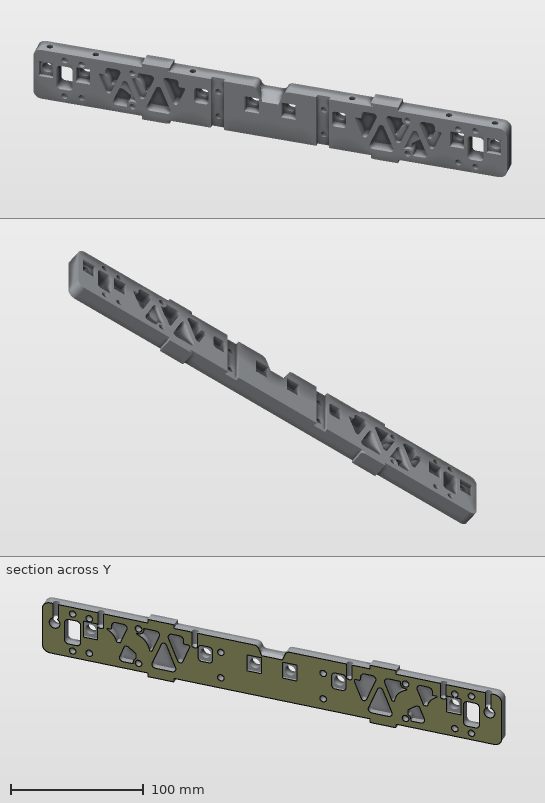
import cadquery as cq
import math

LENGTH = 373.17
THICKNESS = 12.7
OVERALL_HEIGHT = 50.8
TAB_HEIGHT = 3.175
BODY_HEIGHT = OVERALL_HEIGHT - 2 * TAB_HEIGHT
END_RADIUS = 6.35
FRONT = -THICKNESS / 2
BACK = THICKNESS / 2
TOP = BODY_HEIGHT / 2

TAB_OUTER_X = 100.9
TAB_INNER_X = 79.3
TAB_RELIEF_LENGTH = 3.5
TAB_RELIEF_DEPTH = 0.8

NOTCH_FLOOR_Z = 16.3
NOTCH_RAMP_FOOT_Z = 9.5
NOTCH_RAMP_Y = 0.8
NOTCH_TOP_HALF_WIDTH = 11.7
NOTCH_WALL_ANGLE = 22.5
NOTCH_RADIUS = 4.0

INNER_NUT_X = 14.4
ROUNDED_NUT_X = 54.2
OUTER_NUT_X = 147.5
END_NUT_X = 176.5
NUT_Z = 5.0
NUT_WIDTH = 11.1
NUT_HEIGHT = 13.6
NUT_DEPTH = 6.35
END_NUT_DEPTH = 3.175
NUT_CORNER_RADIUS = 2.5
BOLT_DIAMETER = 8.4

WINDOW_X = 161.9
WINDOW_WIDTH = 12.7
WINDOW_HEIGHT = 21.3
WINDOW_RADIUS = 3.175

GROOVE_X = 41.5
GROOVE_WIDTH = 10.2
GROOVE_DEPTH = 3.175

SMALL_HOLE_DIAMETER = 5.0
DOWEL_X = 108.4
DOWEL_Z = 15.2
OUTER_HOLE_X = 148.4
WINDOW_HOLE_Z = 16.3
GROOVE_UPPER_HOLE_Z = 9.5
GROOVE_LOWER_HOLE_Z = -12.9
SMALL_HOLES = (
    (WINDOW_X, WINDOW_HOLE_Z),
    (WINDOW_X, -WINDOW_HOLE_Z),
    (OUTER_HOLE_X, DOWEL_Z),
    (OUTER_HOLE_X, -DOWEL_Z),
    (DOWEL_X, DOWEL_Z),
    (DOWEL_X, -DOWEL_Z),
    (GROOVE_X, GROOVE_UPPER_HOLE_Z),
    (GROOVE_X, GROOVE_LOWER_HOLE_Z),
)

INNER_EDGE_HOLE_X = 62.8
MIDDLE_EDGE_HOLE_X = 139.2
OUTER_EDGE_HOLE_X = 175.4
EDGE_HOLE_DIAMETER = 5.0
EDGE_HOLE_DEPTH = 12.7
DRILL_POINT_ANGLE = 118

TRI_PITCH = 13.2
TRI_CENTER_X = 101.0
TRI_BASE_Z = 16.3
TRI_TIP_Z = 10.4
TRI_HALF_ANGLE = 22.2
TRI_BASE_RADIUS = 2.8
TRI_TIP_RADIUS = 2.1
POCKET_DEPTH = 9.5
DOWEL_KEEPOUT_RADIUS = 4.5

CLIP_HALF_WIDTH = 9.2
CLIP_Z = 9.8
CLIP_TOP_RADIUS = 3.2
CLIP_SIDE_RADIUS = 1.2
CLIP_INNER_RADIUS = 1.2

STEP_DEPTH = 3.175
STEP_DISC_Z = -4.2
STEP_DISC_RADIUS = 15.2
OUTER_STEP_FOOT_Z = -0.2
MIDDLE_STEP_FOOT_Z = -2.0
UPPER_STEP_Z = -2.5
UPPER_STEP_BEND_X = -117.0
UPPER_STEP_END_X = -110.7
UPPER_STEP_END_Z = -7.2


def prism(points, depth=THICKNESS):
    """Solid with an outline in X-Z, reaching from the front face into the plate."""
    return cq.Workplane("XZ", origin=(0, FRONT, 0)).polyline(points).close().extrude(-depth)


def box(x_min, x_max, z_min, z_max, depth=THICKNESS):
    return prism([(x_min, z_min), (x_max, z_min), (x_max, z_max), (x_min, z_max)], depth)


def cylinder(x, z, diameter):
    return cq.Workplane("XZ", origin=(x, FRONT, z)).circle(diameter / 2).extrude(-THICKNESS)


def both_ends(solid):
    """The solid together with its mirror image at the other end of the plate."""
    return solid.union(solid.mirror("YZ"))


def body():
    return cq.Workplane("XY").box(LENGTH, THICKNESS, BODY_HEIGHT).edges("|Y").fillet(END_RADIUS)


def tabs():
    """Upper and lower tab of one half, with a curved relief at their front inner edge."""
    relief_x = -TAB_INNER_X - TAB_RELIEF_LENGTH
    relief_radius = (TAB_RELIEF_LENGTH**2 + TAB_RELIEF_DEPTH**2) / (2 * TAB_RELIEF_DEPTH)
    strip = (
        cq.Workplane("XY", origin=(0, 0, -OVERALL_HEIGHT / 2))
        .moveTo(-TAB_OUTER_X, BACK)
        .lineTo(-TAB_OUTER_X, FRONT)
        .lineTo(relief_x, FRONT)
        .radiusArc((-TAB_INNER_X, FRONT + TAB_RELIEF_DEPTH), -relief_radius)
        .lineTo(-TAB_INNER_X, BACK)
        .close()
        .extrude(OVERALL_HEIGHT)
    )
    return strip.cut(box(-TAB_OUTER_X, -TAB_INNER_X, -TOP, TOP))


def notch_trapezoid(floor_z):
    half_floor = NOTCH_TOP_HALF_WIDTH - (TOP - floor_z) * math.tan(math.radians(NOTCH_WALL_ANGLE))
    return prism(
        [
            (-NOTCH_TOP_HALF_WIDTH, TOP),
            (-half_floor, floor_z),
            (half_floor, floor_z),
            (NOTCH_TOP_HALF_WIDTH, TOP),
        ]
    )


def notch():
    """Trapezoidal notch with a level floor at the back and a ramp falling to the front."""
    level = notch_trapezoid(NOTCH_FLOOR_Z).edges("|Y and <Z").fillet(NOTCH_RADIUS)
    ramp_profile = [
        (FRONT, NOTCH_RAMP_FOOT_Z),
        (NOTCH_RAMP_Y, NOTCH_FLOOR_Z),
        (NOTCH_RAMP_Y, TOP),
        (FRONT, TOP),
    ]
    ramp = cq.Workplane("YZ").polyline(ramp_profile).close().extrude(NOTCH_TOP_HALF_WIDTH, both=True)
    return level.union(notch_trapezoid(NOTCH_RAMP_FOOT_Z).intersect(ramp))


def edge_near(x, y, z):
    return cq.selectors.NearestToPointSelector((x, y, z))


def notched_plate():
    """Body with its tabs and the notch, whose upper corners are rounded."""
    plate = body().union(both_ends(tabs())).cut(notch())
    for x in (-NOTCH_TOP_HALF_WIDTH, NOTCH_TOP_HALF_WIDTH):
        plate = plate.edges("|Y").edges(edge_near(x, 0, TOP)).fillet(NOTCH_RADIUS)
    return plate


def nut_pocket(x, depth=NUT_DEPTH):
    half_width = NUT_WIDTH / 2
    half_height = NUT_HEIGHT / 2
    return box(x - half_width, x + half_width, NUT_Z - half_height, NUT_Z + half_height, depth)


def nut_pockets():
    """The four nut pockets of one half, each with its bolt hole."""
    pockets = nut_pocket(-ROUNDED_NUT_X).edges("|Y").fillet(NUT_CORNER_RADIUS)
    pockets = pockets.union(nut_pocket(-INNER_NUT_X))
    pockets = pockets.union(nut_pocket(-OUTER_NUT_X))
    pockets = pockets.union(nut_pocket(-END_NUT_X, END_NUT_DEPTH))
    for x in (INNER_NUT_X, ROUNDED_NUT_X, OUTER_NUT_X, END_NUT_X):
        pockets = pockets.union(cylinder(-x, NUT_Z, BOLT_DIAMETER))
    return pockets


def window():
    half_width = WINDOW_WIDTH / 2
    half_height = WINDOW_HEIGHT / 2
    opening = box(-WINDOW_X - half_width, -WINDOW_X + half_width, -half_height, half_height)
    return opening.edges("|Y").fillet(WINDOW_RADIUS)


def groove():
    half_width = GROOVE_WIDTH / 2
    return box(-GROOVE_X - half_width, -GROOVE_X + half_width, -TOP, TOP, GROOVE_DEPTH)


def triangle_center(position):
    """X of the triangle that lies the given number of pitches from the middle one."""
    return -TRI_CENTER_X + position * TRI_PITCH


def triangle_half_width(distance_from_tip):
    return distance_from_tip * math.tan(math.radians(TRI_HALF_ANGLE))


def triangle(position, upward):
    """Pocket with the outline of a rounded triangle pointing up or down."""
    x = triangle_center(position)
    half_base = triangle_half_width(TRI_BASE_Z + TRI_TIP_Z)
    sign = 1 if upward else -1
    base_z = -sign * TRI_BASE_Z
    tip_z = sign * TRI_TIP_Z
    base_side = "<Z" if upward else ">Z"
    tip_side = ">Z" if upward else "<Z"
    sharp = prism([(x - half_base, base_z), (x + half_base, base_z), (x, tip_z)], POCKET_DEPTH)
    base_rounded = sharp.edges("|Y").edges(base_side).fillet(TRI_BASE_RADIUS)
    return base_rounded.edges("|Y").edges(tip_side).fillet(TRI_TIP_RADIUS)


def clipped_triangle(position, hole_x):
    """Downward triangle with the corner nearest an edge hole cut away and rounded."""
    center = triangle_center(position)
    inward = math.copysign(1, center - hole_x)
    clip_x = hole_x + inward * CLIP_HALF_WIDTH
    side_x = center - inward * triangle_half_width(CLIP_Z + TRI_TIP_Z)
    clip = box(hole_x - CLIP_HALF_WIDTH, hole_x + CLIP_HALF_WIDTH, CLIP_Z, TOP)
    pocket = triangle(position, upward=False).cut(clip)
    middle_y = FRONT + POCKET_DEPTH / 2
    corners = (
        (clip_x, TRI_BASE_Z, CLIP_TOP_RADIUS),
        (side_x, CLIP_Z, CLIP_SIDE_RADIUS),
        (clip_x, CLIP_Z, CLIP_INNER_RADIUS),
    )
    for x, z, radius in corners:
        pocket = pocket.edges("|Y").edges(edge_near(x, middle_y, z)).fillet(radius)
    return pocket


def stepped(pocket, step):
    """Pocket that is shallow over the step and deep elsewhere."""
    shallow = pocket.intersect(box(-LENGTH / 2, 0, -TOP, TOP, STEP_DEPTH))
    return shallow.union(pocket.cut(step))


def round_step(position, foot_z):
    """Step formed by a disc around a triangle position and everything right of it below the foot."""
    center = triangle_center(position)
    disc = cylinder(center, STEP_DISC_Z, 2 * STEP_DISC_RADIUS)
    return disc.union(box(center, center + 2 * STEP_DISC_RADIUS, -TOP, foot_z))


def upper_step():
    """Step over the upper part of an upright triangle, above a sloping lower edge."""
    left = triangle_center(-2)
    right = triangle_center(0)
    return prism(
        [
            (left, TOP),
            (left, UPPER_STEP_Z),
            (UPPER_STEP_BEND_X, UPPER_STEP_Z),
            (UPPER_STEP_END_X, UPPER_STEP_END_Z),
            (UPPER_STEP_END_X, -TOP),
            (right, -TOP),
            (right, TOP),
        ]
    )


def triangular_pockets():
    """The row of five pockets, with material kept around the two dowel holes between them."""
    pockets = stepped(clipped_triangle(-2, -MIDDLE_EDGE_HOLE_X), round_step(-3, OUTER_STEP_FOOT_Z))
    pockets = pockets.union(stepped(triangle(-1, upward=True), upper_step()))
    pockets = pockets.union(stepped(triangle(0, upward=False), round_step(-1, MIDDLE_STEP_FOOT_Z)))
    pockets = pockets.union(triangle(1, upward=True))
    pockets = pockets.union(clipped_triangle(2, -INNER_EDGE_HOLE_X))
    for z in (DOWEL_Z, -DOWEL_Z):
        pockets = pockets.cut(cylinder(-DOWEL_X, z, 2 * DOWEL_KEEPOUT_RADIUS))
    return pockets


def edge_hole(x):
    """Hole drilled from the top edge, with a conical bottom."""
    radius = EDGE_HOLE_DIAMETER / 2
    point_length = radius / math.tan(math.radians(DRILL_POINT_ANGLE / 2))
    floor_z = TOP - EDGE_HOLE_DEPTH
    profile = [(0, TOP), (radius, TOP), (radius, floor_z), (0, floor_z - point_length)]
    drill = cq.Workplane("XZ").polyline(profile).close().revolve(360, (0, 0), (0, 1))
    return drill.translate((x, 0, 0))


def end_cuts():
    """Everything that is cut from the -X half and repeated on the +X half."""
    cuts = window().union(nut_pockets()).union(groove()).union(triangular_pockets())
    for x, z in SMALL_HOLES:
        cuts = cuts.union(cylinder(-x, z, SMALL_HOLE_DIAMETER))
    for x in (INNER_EDGE_HOLE_X, MIDDLE_EDGE_HOLE_X, OUTER_EDGE_HOLE_X):
        cuts = cuts.union(edge_hole(-x))
    return cuts


result = notched_plate().cut(both_ends(end_cuts()))